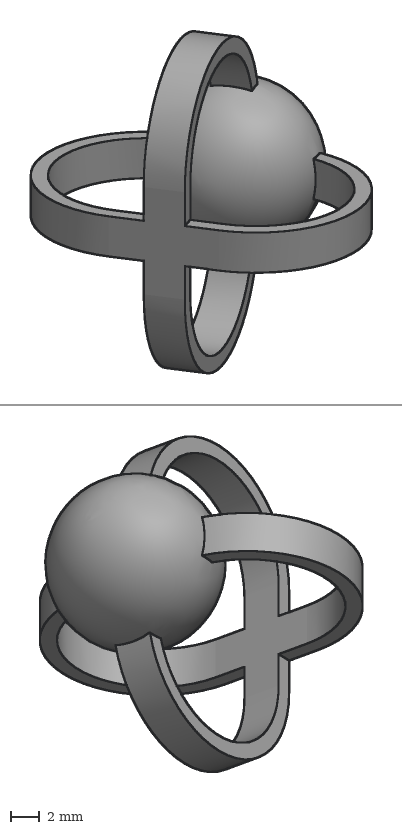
import cadquery as cq

ring_length = 23.98
ring_radius = ring_length / 3
band_thickness = 1.2
band_width = 3.0
ball_radius = 6.23
overall_depth = 21.65

ball_center_y = overall_depth - ball_radius


def ring():
    """Stadium-shaped band lying flat in the XY plane, centred on Z = 0."""
    outer = cq.Workplane("XY").slot2D(ring_length, 2 * ring_radius)
    inner_length = ring_length - 2 * band_thickness
    inner_height = 2 * (ring_radius - band_thickness)
    band = outer.slot2D(inner_length, inner_height).extrude(band_width / 2, both=True)
    return band.translate((0, ring_radius, 0))


flat_ring = ring()
upright_ring = ring().rotate((0, 0, 0), (0, 1, 0), 90)

ball = cq.Workplane("XZ").sphere(ball_radius).translate((0, ball_center_y, 0))

result = flat_ring.union(upright_ring).union(ball)